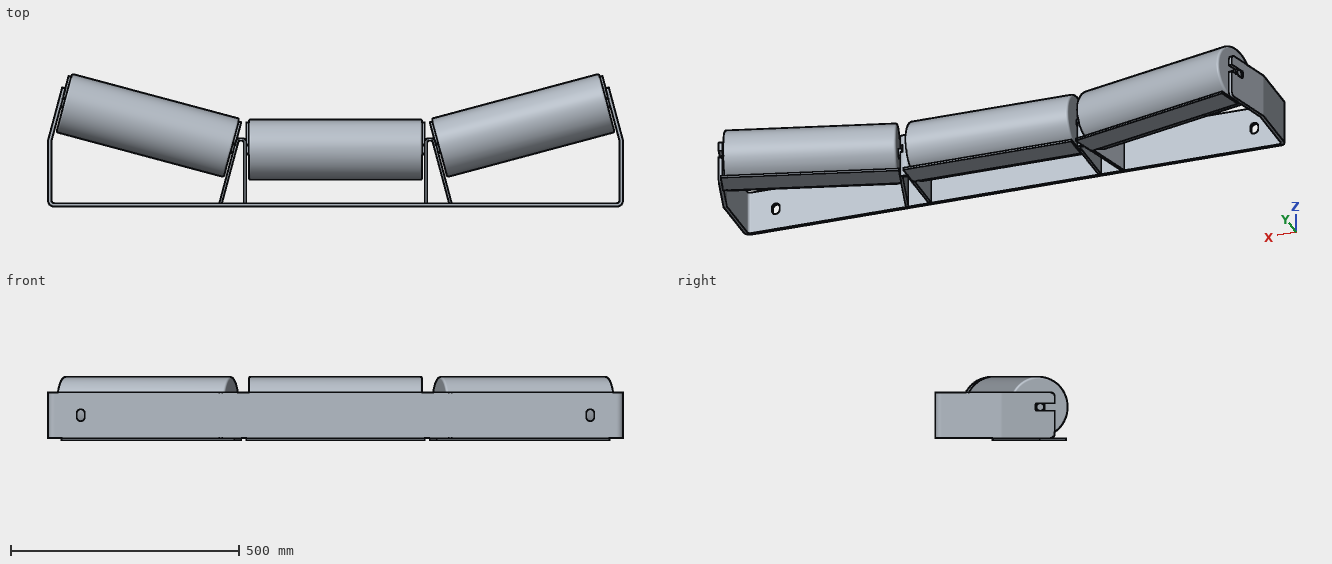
import cadquery as cq
import math


frame_length = 1260
bar_height = 100
frame_thickness = 8
frame_bend_radius = 6
wing_reach = 32
wing_corner_radius = 8
mount_slot_width = 18
mount_slot_height = 26
mount_slot_x = 558

roller_diameter = 133
roller_length = 380
roller_edge_radius = 5
axis_height = 68
shaft_diameter = 23
shaft_flats = 16
shaft_chamfer = 3
seat_gap = 390

trough_angle = math.radians(15)
middle_axis_y = 125
outer_center_x = 411
outer_center_y = 178

bracket_thickness = 6
bracket_bend_radius = 3
bracket_web_y = 150

strip_length = 392
strip_width = 60
strip_thickness = 5

half_length = frame_length / 2
half_gap = seat_gap / 2
roller_radius = roller_diameter / 2
shaft_radius = shaft_diameter / 2
cos_tilt = math.cos(trough_angle)
sin_tilt = math.sin(trough_angle)
tan_tilt = math.tan(trough_angle)
shaft_length = seat_gap + 2 * bracket_thickness


def place_left(body):
    """Move a body from the origin, lying along X, to the left outer roller axis."""
    tilted = body.rotate((0, 0, 0), (0, 0, 1), -math.degrees(trough_angle))
    return tilted.translate((-outer_center_x, outer_center_y, 0))


def place_middle(body):
    """Move a body from the origin, lying along X, to the middle roller axis."""
    return body.translate((0, middle_axis_y, 0))


def mirrored(body):
    return body.mirror("YZ")


def left_point(along, across):
    """XY point given along and across the left outer roller axis."""
    x = -outer_center_x + along * cos_tilt + across * sin_tilt
    y = outer_center_y - along * sin_tilt + across * cos_tilt
    return (x, y)


def cross_plane_x(along, y):
    """X at position y of the plane square to the left outer axis at distance along."""
    return -outer_center_x + along / cos_tilt + (y - outer_center_y) * tan_tilt


def cross_plane_y(along, x):
    """Y at position x of the plane square to the left outer axis at distance along."""
    return outer_center_y + (x + outer_center_x - along / cos_tilt) / tan_tilt


def make_roller():
    shell = cq.Workplane("YZ", origin=(-roller_length / 2, 0, 0)).circle(roller_radius).extrude(roller_length)
    shell = shell.faces("<X or >X").edges().fillet(roller_edge_radius)
    shaft = cq.Workplane("YZ", origin=(-shaft_length / 2, 0, 0)).circle(shaft_radius).extrude(shaft_length)
    shaft = shaft.faces("<X or >X").chamfer(shaft_chamfer)
    flats = cq.Workplane("XY").box(shaft_length, shaft_diameter, shaft_flats)
    return shell.union(shaft.intersect(flats)).translate((0, 0, axis_height))


def make_seat_cutter(start, thickness):
    round_end = cq.Workplane("YZ").circle(shaft_radius).extrude(thickness)
    opening = cq.Workplane("YZ").rect(roller_diameter, shaft_flats).extrude(thickness)
    opening = opening.translate((0, roller_radius, 0))
    band = cq.Workplane("YZ").rect(shaft_diameter, shaft_flats).extrude(thickness)
    seat = round_end.intersect(band).union(opening)
    return seat.translate((start, 0, axis_height))


def make_strip():
    strip = cq.Workplane("XY").rect(strip_length, strip_width).extrude(-strip_thickness)
    return strip.translate((0, strip_width / 2, 0))


def make_frame_half():
    outer_x = -half_length
    inner_x = outer_x + frame_thickness
    outer_along = -half_gap - frame_thickness
    inner_along = -half_gap
    half = (
        cq.Workplane("XY")
        .moveTo(0, 0)
        .lineTo(outer_x, 0)
        .lineTo(outer_x, cross_plane_y(outer_along, outer_x))
        .lineTo(*left_point(outer_along, wing_reach))
        .lineTo(*left_point(inner_along, wing_reach))
        .lineTo(inner_x, cross_plane_y(inner_along, inner_x))
        .lineTo(inner_x, frame_thickness)
        .lineTo(0, frame_thickness)
        .close()
        .extrude(bar_height)
    )

    def round_corner(body, x, y, radius):
        corner = cq.selectors.NearestToPointSelector((x, y, bar_height / 2))
        return body.edges("|Z").edges(corner).fillet(radius)

    outer_bend_radius = frame_bend_radius + frame_thickness
    half = round_corner(half, outer_x, 0, outer_bend_radius)
    half = round_corner(half, inner_x, frame_thickness, frame_bend_radius)
    half = round_corner(half, outer_x, cross_plane_y(outer_along, outer_x), outer_bend_radius)
    half = round_corner(half, inner_x, cross_plane_y(inner_along, inner_x), frame_bend_radius)

    tip_x, tip_y = left_point(-half_gap - frame_thickness / 2, wing_reach)
    for z in (0, bar_height):
        corner = cq.selectors.NearestToPointSelector((tip_x, tip_y, z))
        half = half.edges(corner).fillet(wing_corner_radius)

    mount_slot = (
        cq.Workplane("XZ")
        .center(-mount_slot_x, bar_height / 2)
        .slot2D(mount_slot_height, mount_slot_width, 90)
        .extrude(-frame_thickness)
    )
    seat = place_left(make_seat_cutter(outer_along, frame_thickness))
    return half.cut(mount_slot).cut(seat)


def make_left_bracket():
    slant_outer = half_gap
    slant_inner = half_gap + bracket_thickness
    straight_outer_x = -half_gap
    straight_inner_x = straight_outer_x - bracket_thickness
    foot_y = frame_thickness
    inner_web_y = bracket_web_y - bracket_thickness

    def profile(slant, straight_x, web_y, radius):
        points = [
            (cross_plane_x(slant, foot_y), foot_y),
            (cross_plane_x(slant, web_y), web_y),
            (straight_x, web_y),
            (straight_x, foot_y),
        ]
        body = cq.Workplane("XY").polyline(points).close().extrude(bar_height)
        return body.faces(">Y").edges("|Z").fillet(radius)

    outer = profile(slant_outer, straight_outer_x, bracket_web_y, bracket_bend_radius + bracket_thickness)
    inner = profile(slant_inner, straight_inner_x, inner_web_y, bracket_bend_radius)
    slant_seat = place_left(make_seat_cutter(slant_outer, bracket_thickness))
    straight_seat = place_middle(make_seat_cutter(straight_inner_x, bracket_thickness))
    return outer.cut(inner).cut(slant_seat).cut(straight_seat)


frame_half = make_frame_half()
frame = frame_half.union(mirrored(frame_half))

left_bracket = make_left_bracket()
brackets = [left_bracket, mirrored(left_bracket)]

middle_roller = place_middle(make_roller())
left_roller = place_left(make_roller())
rollers = [left_roller, middle_roller, mirrored(left_roller)]

left_strip = place_left(make_strip())
strips = [left_strip, place_middle(make_strip()), mirrored(left_strip)]

bodies = [frame] + brackets + rollers + strips
result = cq.Compound.makeCompound([body.val() for body in bodies])